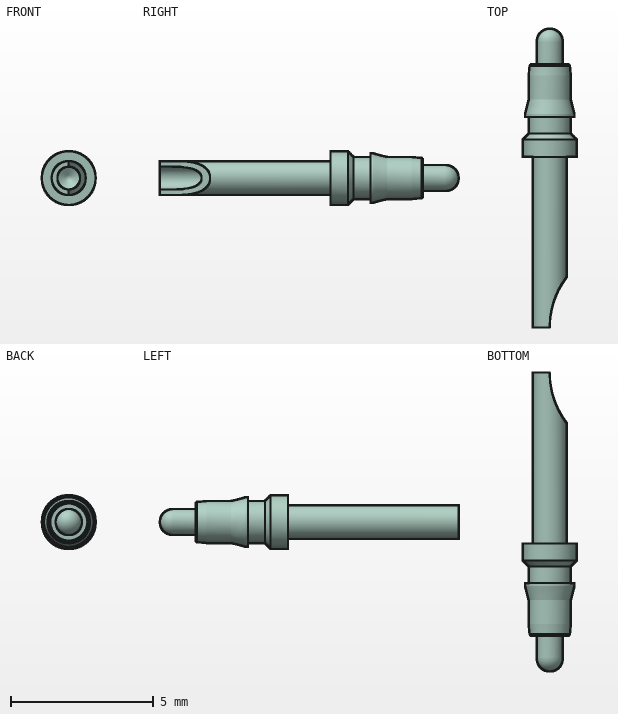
import cadquery as cq
import math

length = 10.5
tip_y = length / 2
tail_y = -length / 2

plunger_radius = 0.46
nose_radius = 0.71
barrel_radius = 0.75
barb_radius = 0.87
collar_diameter = 1.9
collar_radius = collar_diameter / 2
tail_radius = 0.6
cup_bore_radius = 0.4

barrel_top_y = tip_y - 1.25
nose_chamfer = 0.06
nose_taper_end_y = tip_y - 1.66
barb_start_y = tip_y - 2.51
barb_crest_y = tip_y - 3.0
barb_end_y = tip_y - 3.11
collar_bevel = collar_radius - barrel_radius
collar_shoulder_y = tip_y - 3.9
collar_end_y = tip_y - 4.5

cup_depth = 2.1
drill_point_angle = 118.0
scoop_length = 1.77


def turned_body():
    """Revolve the stepped half profile about the Y axis."""
    dome_base_y = tip_y - plunger_radius
    dome_mid = plunger_radius * math.sqrt(0.5)
    profile = (
        cq.Workplane("XY")
        .moveTo(0, tail_y)
        .lineTo(tail_radius, tail_y)
        .lineTo(tail_radius, collar_end_y)
        .lineTo(collar_radius, collar_end_y)
        .lineTo(collar_radius, collar_shoulder_y)
        .lineTo(barrel_radius, collar_shoulder_y + collar_bevel)
        .lineTo(barrel_radius, barb_end_y)
        .lineTo(barb_radius, barb_end_y)
        .lineTo(barb_radius, barb_crest_y)
        .lineTo(barrel_radius, barb_start_y)
        .lineTo(barrel_radius, nose_taper_end_y)
        .lineTo(nose_radius, barrel_top_y - nose_chamfer)
        .lineTo(nose_radius - nose_chamfer, barrel_top_y)
        .lineTo(plunger_radius, barrel_top_y)
        .lineTo(plunger_radius, dome_base_y)
        .threePointArc((dome_mid, dome_base_y + dome_mid), (0, tip_y))
        .close()
    )
    return profile.revolve(360, (0, 0), (0, 1))


def cup_bore():
    """Blind bore in the tail with a conical drill point."""
    point_depth = cup_bore_radius / math.tan(math.radians(drill_point_angle / 2))
    profile = (
        cq.Workplane("XY")
        .moveTo(0, tail_y)
        .lineTo(cup_bore_radius, tail_y)
        .lineTo(cup_bore_radius, tail_y + cup_depth)
        .lineTo(0, tail_y + cup_depth + point_depth)
        .close()
    )
    return profile.revolve(360, (0, 0), (0, 1))


def cup_scoop():
    """Cylindrical cut that opens the +X half of the cup, tangent to the axis at the tail end."""
    scoop_radius = (scoop_length**2 + tail_radius**2) / (2 * tail_radius)
    return (
        cq.Workplane("XY")
        .center(scoop_radius, tail_y)
        .circle(scoop_radius)
        .extrude(collar_radius, both=True)
    )


result = turned_body().cut(cup_bore()).cut(cup_scoop())